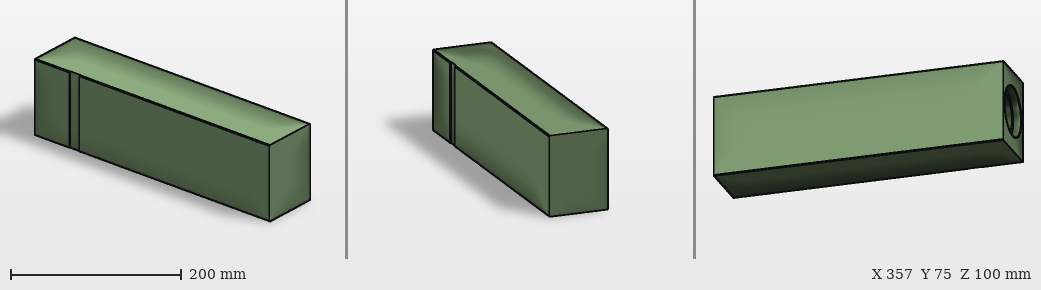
import cadquery as cq

body_length = 357.0
body_width = 75.0
body_height = 100.0
edge_chamfer = 1.0

groove_start = 52.5
groove_width = 15.0
groove_depth = 1.8

bore_diameter = 50.0
bore_depth = body_length / 2
counterbore_diameter = 61.5
counterbore_depth = 10.0
mouth_chamfer = 0.7


def make_body():
    """Block with its four long edges chamfered."""
    block = cq.Workplane("XY").box(
        body_length, body_width, body_height, centered=(False, True, True)
    )
    return block.edges("|X").chamfer(edge_chamfer)


def make_groove():
    """Cutter for the groove in the -Y side."""
    return (
        cq.Workplane("XY")
        .box(groove_width, groove_depth, body_height, centered=(False, False, True))
        .translate((groove_start, -body_width / 2, 0))
    )


def make_bore():
    """Cutter turned about X: chamfered mouth, counterbore, then the bore to a flat bottom."""
    bore_radius = bore_diameter / 2
    counterbore_radius = counterbore_diameter / 2
    half_section = (
        cq.Workplane("XY")
        .moveTo(0, 0)
        .lineTo(0, counterbore_radius + mouth_chamfer)
        .lineTo(mouth_chamfer, counterbore_radius)
        .lineTo(counterbore_depth, counterbore_radius)
        .lineTo(counterbore_depth, bore_radius)
        .lineTo(bore_depth, bore_radius)
        .lineTo(bore_depth, 0)
        .close()
    )
    return half_section.revolve(360, (0, 0, 0), (1, 0, 0))


result = make_body().cut(make_groove()).cut(make_bore())